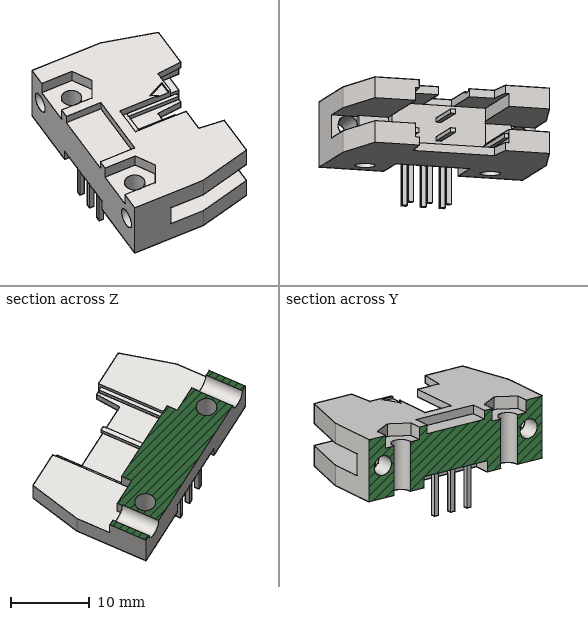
import cadquery as cq


WIDTH = 27.2
DEPTH = 17.3
HEIGHT = 8.5
SHOULDER_Y = 9.95
TIP_WIDTH = 23.3
NOTCH_MOUTH_WIDTH = 11.5
NOTCH_FLOOR_WIDTH = 10.8
NOTCH_FLOOR_Y = 13.8

SLOT_BOTTOM = 2.8
SLOT_TOP = 5.78
SLOT_END_Y = 5.24
SLOT_STEP_Y = 5.96
SLOT_STEP_WIDTH = 20.4

SKIN = 1.05
POCKET_WIDTH = 12.5
POCKET_END_Y = 7.43
RAIL_BOTTOM = 1.7
RAIL_TOP = 2.3
RAIL_THICKNESS = 0.53
RAIL_TIP_Y = 16.97

BAR_WIDTH = 0.66
BAR_HEIGHT = 0.54
BAR_TIP_Y = 13.47

WINDOW_WIDTH = 4.1
WINDOW_END_Y = 6.44
MARK_X = -2.55
MARK_WIDTH = 2.46
MARK_BASE_Y = BAR_TIP_Y
MARK_APEX_Y = 11.04
MARK_DEPTH = 0.25

HOLE_DIAMETER = 2.6
NUT_HOLE_X = 8.37
NUT_HOLE_Y = 2.87
FRONT_HOLE_X = 11.42
FRONT_HOLE_Z = 4.5
NUT_WIDTH = 5.25
NUT_SHOULDER_Y = 4.38
NUT_APEX_Y = 5.88
NUT_DEPTH = 1.7

LABEL_WIDTH = 8.97
LABEL_LENGTH = 5.0
LABEL_DEPTH = 1.17
PIN_RECESS_WIDTH = 9.9
PIN_RECESS_LENGTH = 5.0
PIN_RECESS_DEPTH = 1.53

PIN_SIZE = 0.65
PIN_PITCH = 2.54
PIN_FRONT_Y = 1.05
PIN_PROJECTION = 4.5
PIN_COLUMNS = (-1, 0, 1)
PIN_ROWS = (0, 1)


def centred_block(width, y0, y1, z0, z1):
    """Block centred on X = 0 that fills the given Y and Z ranges."""
    block = cq.Workplane("XY").box(width, y1 - y0, z1 - z0, centered=(True, False, False))
    return block.translate((0, y0, z0))


def prism(points, z0, z1):
    """Upright prism over a closed plan outline."""
    return cq.Workplane("XY").workplane(offset=z0).polyline(points).close().extrude(z1 - z0)


def housing_block():
    right_side = [
        (WIDTH / 2, 0),
        (WIDTH / 2, SHOULDER_Y),
        (TIP_WIDTH / 2, DEPTH),
        (NOTCH_MOUTH_WIDTH / 2, DEPTH),
        (NOTCH_FLOOR_WIDTH / 2, NOTCH_FLOOR_Y),
    ]
    left_side = [(-x, y) for x, y in reversed(right_side)]
    return prism(right_side + left_side, 0, HEIGHT)


def slot():
    outer = centred_block(WIDTH, SLOT_STEP_Y, DEPTH, SLOT_BOTTOM, SLOT_TOP)
    ends = centred_block(WIDTH, SLOT_END_Y, SLOT_STEP_Y, SLOT_BOTTOM, SLOT_TOP)
    ends = ends.cut(centred_block(SLOT_STEP_WIDTH, SLOT_END_Y, SLOT_STEP_Y, SLOT_BOTTOM, SLOT_TOP))
    middle = centred_block(POCKET_WIDTH, SLOT_STEP_Y, POCKET_END_Y, SLOT_BOTTOM, SLOT_TOP)
    return outer.union(ends).cut(middle)


def sensing_pocket():
    pocket = centred_block(POCKET_WIDTH, POCKET_END_Y, DEPTH, SKIN, HEIGHT - SKIN)
    rails = centred_block(POCKET_WIDTH, POCKET_END_Y, RAIL_TIP_Y, RAIL_BOTTOM, RAIL_TOP)
    between_rails = POCKET_WIDTH - 2 * RAIL_THICKNESS
    rails = rails.cut(centred_block(between_rails, POCKET_END_Y, RAIL_TIP_Y, RAIL_BOTTOM, RAIL_TOP))
    return pocket.cut(rails)


def window():
    return centred_block(WINDOW_WIDTH, WINDOW_END_Y, DEPTH, HEIGHT - SKIN, HEIGHT)


def triangle_mark():
    corners = [
        (MARK_X - MARK_WIDTH / 2, MARK_BASE_Y),
        (MARK_X + MARK_WIDTH / 2, MARK_BASE_Y),
        (MARK_X, MARK_APEX_Y),
    ]
    return prism(corners, HEIGHT - MARK_DEPTH, HEIGHT)


def nut_pocket(x):
    outline = [
        (x - NUT_WIDTH / 2, 0),
        (x + NUT_WIDTH / 2, 0),
        (x + NUT_WIDTH / 2, NUT_SHOULDER_Y),
        (x, NUT_APEX_Y),
        (x - NUT_WIDTH / 2, NUT_SHOULDER_Y),
    ]
    return prism(outline, HEIGHT - NUT_DEPTH, HEIGHT)


def vertical_hole(x):
    return cq.Workplane("XY").center(x, NUT_HOLE_Y).circle(HOLE_DIAMETER / 2).extrude(HEIGHT)


def front_hole(x):
    """Hole along Y from the mounting face into the slot."""
    return cq.Workplane("XZ").center(x, FRONT_HOLE_Z).circle(HOLE_DIAMETER / 2).extrude(-SLOT_END_Y)


def bar(z0):
    """Bar rooted in the end wall of the sensing pocket."""
    return centred_block(BAR_WIDTH, SLOT_STEP_Y, BAR_TIP_Y, z0, z0 + BAR_HEIGHT)


def pin(column, row):
    """Square pin rooted in the ceiling of the underside recess."""
    length = PIN_PROJECTION + PIN_RECESS_DEPTH
    square = cq.Workplane("XY").box(PIN_SIZE, PIN_SIZE, length, centered=(True, True, False))
    return square.translate((column * PIN_PITCH, PIN_FRONT_Y + row * PIN_PITCH, -PIN_PROJECTION))


result = housing_block()
result = result.cut(slot()).cut(sensing_pocket())
result = result.cut(triangle_mark()).cut(window())
result = result.cut(centred_block(LABEL_WIDTH, 0, LABEL_LENGTH, HEIGHT - LABEL_DEPTH, HEIGHT))
result = result.cut(centred_block(PIN_RECESS_WIDTH, 0, PIN_RECESS_LENGTH, 0, PIN_RECESS_DEPTH))

for side in (-1, 1):
    result = result.cut(nut_pocket(side * NUT_HOLE_X))
    result = result.cut(vertical_hole(side * NUT_HOLE_X))
    result = result.cut(front_hole(side * FRONT_HOLE_X))

for bar_bottom in (SLOT_BOTTOM, SLOT_TOP - BAR_HEIGHT):
    result = result.union(bar(bar_bottom))

for column in PIN_COLUMNS:
    for row in PIN_ROWS:
        result = result.union(pin(column, row))